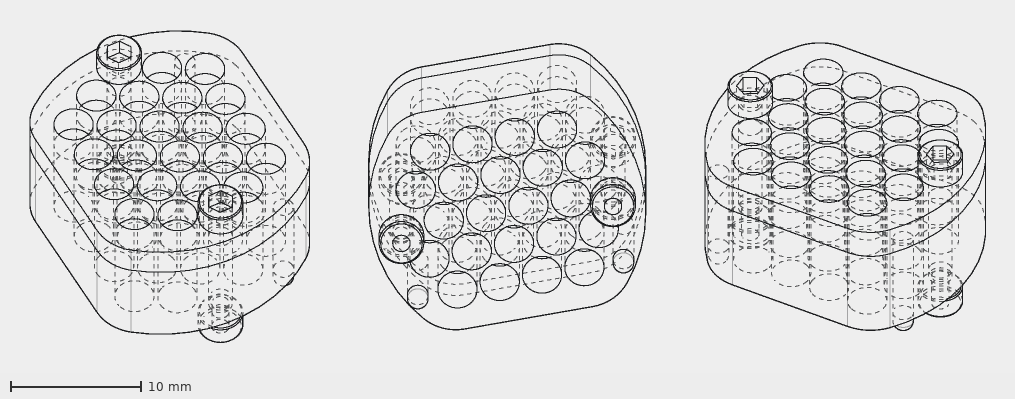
import cadquery as cq
import math

length = 21.2
width = 17.99
side_radius = 12.1
corner_radius = 3.75

block_height = 7.72
plate_height = 2.5
plate_top = block_height + plate_height

screw_spacing = 16.5
pitches_between_screws = 5
hole_diameter = 3.01
hole_pitch = screw_spacing / pitches_between_screws
row_pitch = hole_pitch * math.sqrt(3) / 2
holes_per_row = [4, 5, 4, 5, 4]

head_diameter = 3.44
head_height = 1.85
head_chamfer = 0.1
socket_width = 1.82
socket_depth = 1.45
shoulder_diameter = 1.82
shoulder_protrusion = 0.62
stud_diameter = 1.34
stud_gap = 1.0
nut_top = -(shoulder_protrusion + stud_gap)
nut_bottom = nut_top - head_height
nut_top_chamfer = 0.1
nut_bottom_chamfer_height = 0.2
nut_bottom_chamfer_inset = 0.13

pin_diameter = 1.6
pin_x = 8.02
pin_y = 5.6
pin_straight_protrusion = 0.8

screw_points = [(side * screw_spacing / 2, 0) for side in (-1, 1)]
pin_points = [(side * pin_x, pin_y) for side in (-1, 1)]


def outline_slab(bottom, height):
    """Slab with flat front and back, bowed sides and corners tangent to both."""
    side_center_x = length / 2 - side_radius
    corner_center_y = width / 2 - corner_radius
    center_distance = side_radius - corner_radius
    center_angle = math.asin(corner_center_y / center_distance)
    corner_center_x = side_center_x + center_distance * math.cos(center_angle)

    side_x = side_center_x + side_radius * math.cos(center_angle)
    side_y = side_radius * math.sin(center_angle)
    middle_angle = (center_angle + math.pi / 2) / 2
    middle_x = corner_center_x + corner_radius * math.cos(middle_angle)
    middle_y = corner_center_y + corner_radius * math.sin(middle_angle)

    return (
        cq.Workplane("XY", origin=(0, 0, bottom))
        .moveTo(-corner_center_x, -width / 2)
        .lineTo(corner_center_x, -width / 2)
        .threePointArc((middle_x, -middle_y), (side_x, -side_y))
        .threePointArc((length / 2, 0), (side_x, side_y))
        .threePointArc((middle_x, middle_y), (corner_center_x, width / 2))
        .lineTo(-corner_center_x, width / 2)
        .threePointArc((-middle_x, middle_y), (-side_x, side_y))
        .threePointArc((-length / 2, 0), (-side_x, -side_y))
        .threePointArc((-middle_x, -middle_y), (-corner_center_x, -width / 2))
        .close()
        .extrude(height)
    )


def cylinder(diameter, bottom, top, center=(0, 0)):
    return (
        cq.Workplane("XY", origin=(*center, bottom))
        .circle(diameter / 2)
        .extrude(top - bottom)
    )


def grid_points():
    points = []
    for row, count in enumerate(holes_per_row):
        y = (row - (len(holes_per_row) - 1) / 2) * row_pitch
        for column in range(count):
            x = (column - (count - 1) / 2) * hole_pitch
            points.append((x, y))
    return points


def drilled_slab(bottom, height):
    """Outline slab with the hole grid and the two screw holes."""
    slab = outline_slab(bottom, height)
    top = slab.faces(">Z").workplane(origin=(0, 0, 0))
    slab = top.pushPoints(grid_points()).hole(hole_diameter)
    top = slab.faces(">Z").workplane(origin=(0, 0, 0))
    return top.pushPoints(screw_points).hole(shoulder_diameter)


def make_block():
    block = drilled_slab(0, block_height)
    for point in pin_points:
        block = block.cut(cylinder(pin_diameter, 0, block_height, point))
    return block


def make_plate():
    return drilled_slab(block_height, plate_height)


def make_screw(center):
    """Socket head above the plate, shoulder through the stack, stud into the nut."""
    head_top = plate_top + head_height
    head = cylinder(head_diameter, plate_top, head_top, center)
    head = head.faces(">Z").edges().chamfer(head_chamfer)
    shoulder = cylinder(shoulder_diameter, -shoulder_protrusion, plate_top, center)
    stud = cylinder(stud_diameter, nut_bottom, -shoulder_protrusion, center)

    socket = (
        cq.Workplane("XY", origin=(*center, head_top - socket_depth))
        .polygon(6, socket_width, circumscribed=True)
        .extrude(socket_depth)
    )
    return head.union(shoulder).union(stud).cut(socket)


def make_nut(center):
    """Round nut, chamfered at both ends, with the stud passing through it."""
    nut = cylinder(head_diameter, nut_bottom, nut_top, center)
    nut = nut.faces(">Z").edges().chamfer(nut_top_chamfer)
    nut = nut.faces("<Z").edges().chamfer(nut_bottom_chamfer_height, nut_bottom_chamfer_inset)
    return nut.cut(cylinder(stud_diameter, nut_bottom, nut_top, center))


def make_pin(center):
    """Pin through the block with a hemispherical lower tip."""
    pin = cylinder(pin_diameter, -pin_straight_protrusion, block_height, center)
    tip = cq.Workplane("XY", origin=(*center, -pin_straight_protrusion)).sphere(pin_diameter / 2)
    return pin.union(tip)


block = make_block()
plate = make_plate()
screws = [make_screw(point).solids().val() for point in screw_points]
nuts = [make_nut(point).solids().val() for point in screw_points]
pins = [make_pin(point).solids().val() for point in pin_points]

result = cq.Compound.makeCompound([block.solids().val(), plate.solids().val(), *screws, *nuts, *pins])